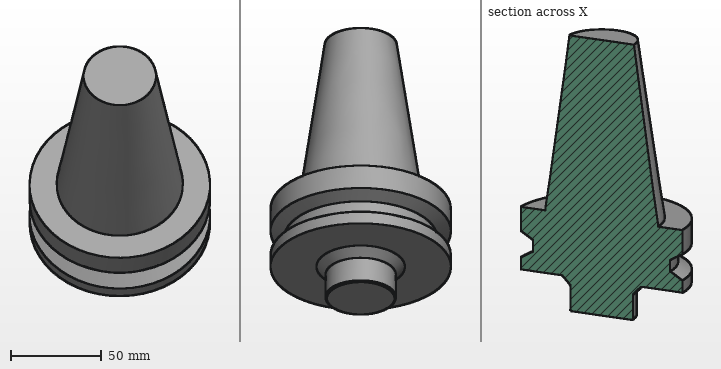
import cadquery as cq
import math

GAUGE_DIAMETER = 69.85
TAPER_LENGTH = 101.8
TAPER_RATIO = 7 / 24

FLANGE_DIAMETER = 100.0
FLANGE_GAP = 1.5
FLANGE_BOTTOM_DEPTH = 38.0

GROOVE_DIAMETER = 85.0
GROOVE_CENTRE_DEPTH = 23.2
GROOVE_FLOOR_WIDTH = 6.4
GROOVE_FLANK_ANGLE = 30.0

NOSE_DIAMETER = 39.0
NOSE_END_DEPTH = 58.0
NOSE_CONE_DIAMETER = 49.0
NOSE_CHAMFER = 0.75

gauge_radius = GAUGE_DIAMETER / 2
taper_tip_radius = (GAUGE_DIAMETER - TAPER_LENGTH * TAPER_RATIO) / 2
flange_radius = FLANGE_DIAMETER / 2
groove_radius = GROOVE_DIAMETER / 2
nose_radius = NOSE_DIAMETER / 2
nose_cone_radius = NOSE_CONE_DIAMETER / 2

flange_top = -FLANGE_GAP
flange_bottom = -FLANGE_BOTTOM_DEPTH
groove_floor_top = -GROOVE_CENTRE_DEPTH + GROOVE_FLOOR_WIDTH / 2
groove_floor_bottom = -GROOVE_CENTRE_DEPTH - GROOVE_FLOOR_WIDTH / 2
groove_flank_width = (flange_radius - groove_radius) * math.tan(math.radians(GROOVE_FLANK_ANGLE))
groove_mouth_top = groove_floor_top + groove_flank_width
groove_mouth_bottom = groove_floor_bottom - groove_flank_width
nose_bottom = -NOSE_END_DEPTH
nose_cone_bottom = flange_bottom - (nose_cone_radius - nose_radius)


def make_holder():
    """Revolve the (radius, height) half-profile of the tool holder about Z."""
    taper = [
        (0, TAPER_LENGTH),
        (taper_tip_radius, TAPER_LENGTH),
        (gauge_radius, 0),
        (gauge_radius, flange_top),
    ]
    flange = [
        (flange_radius, flange_top),
        (flange_radius, groove_mouth_top),
        (groove_radius, groove_floor_top),
        (groove_radius, groove_floor_bottom),
        (flange_radius, groove_mouth_bottom),
        (flange_radius, flange_bottom),
    ]
    nose = [
        (nose_cone_radius, flange_bottom),
        (nose_radius, nose_cone_bottom),
        (nose_radius, nose_bottom + NOSE_CHAMFER),
        (nose_radius - NOSE_CHAMFER, nose_bottom),
        (0, nose_bottom),
    ]
    profile = cq.Workplane("XZ").polyline(taper + flange + nose).close()
    return profile.revolve(360, (0, 0, 0), (0, 1, 0))


result = make_holder()